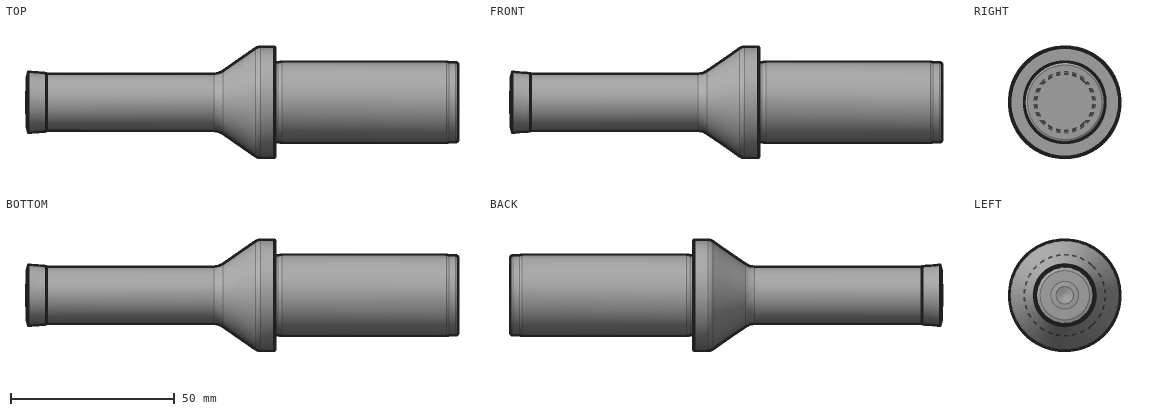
import cadquery as cq
import math

LENGTH = 132.0

HEAD_LENGTH = 6.1
HEAD_FRONT_RADIUS = 18.7 / 2
HEAD_BACK_RADIUS = 9.0
HEAD_EDGE_START = 0.5
HEAD_EDGE_END = 0.8
FACE_RADIUS = 8.8
FACE_BREAK_RADIUS = 7.5
FACE_BREAK_DEPTH = 0.2
BOSS_BASE_RADIUS = 4.2
BOSS_TIP_RADIUS = 2.6
BOSS_HEIGHT = 0.1
DIMPLE_DEPTH = 0.5

NECK_RADIUS = 17.5 / 2
NECK_CHAMFER = 0.3
FLANGE_RADIUS = 34.0 / 2
CONE_ANGLE = 34.8
CONE_END = 70.8
NECK_FILLET = 4.9
RIM_FILLET = 2.6
FLANGE_BACK = 76.2
FLANGE_CHAMFER = 0.4
SHANK_RADIUS = 25.0 / 2
RELIEF_RADIUS = 24.5 / 2
FRONT_RELIEF_LENGTH = 0.8
FRONT_TAPER_LENGTH = 1.2
REAR_RELIEF_LENGTH = 2.9
REAR_TAPER_LENGTH = 0.8
END_FILLET = 0.9

CONE_RISE = FLANGE_RADIUS - NECK_RADIUS
CONE_START = CONE_END - CONE_RISE / math.tan(math.radians(CONE_ANGLE))


def revolve_about_x(profile):
    """Turn a closed (x, radius) profile fully around the X axis."""
    return profile.revolve(360, (0, 0, 0), (1, 0, 0))


def make_head():
    """Back-tapered cutting head with a low centre boss and a conical dimple."""
    profile = (
        cq.Workplane("XY")
        .moveTo(DIMPLE_DEPTH, 0)
        .lineTo(0, BOSS_TIP_RADIUS)
        .lineTo(BOSS_HEIGHT, BOSS_BASE_RADIUS)
        .lineTo(FACE_BREAK_DEPTH, FACE_BREAK_RADIUS)
        .lineTo(HEAD_EDGE_START, FACE_RADIUS)
        .radiusArc((HEAD_EDGE_END, HEAD_FRONT_RADIUS), HEAD_FRONT_RADIUS - FACE_RADIUS)
        .lineTo(HEAD_LENGTH, HEAD_BACK_RADIUS)
        .lineTo(HEAD_LENGTH, 0)
        .close()
    )
    return revolve_about_x(profile)


def fillet_circle(body, x, radius, size):
    """Fillet the circular edge that lies in the plane at x with the given radius."""
    margin = 0.01
    reach = radius + margin
    low_corner = (x - margin, -reach, -reach)
    high_corner = (x + margin, reach, reach)
    edge = cq.selectors.BoxSelector(low_corner, high_corner, boundingbox=True)
    return body.edges(edge).fillet(size)


def make_holder():
    """Front shank, conical flange and relieved rear shank in one turned body."""
    relief_end = FLANGE_BACK + FRONT_RELIEF_LENGTH
    rear_relief = LENGTH - REAR_RELIEF_LENGTH
    profile = cq.Workplane("XY").polyline([
        (HEAD_LENGTH, 0),
        (HEAD_LENGTH, NECK_RADIUS - NECK_CHAMFER),
        (HEAD_LENGTH + NECK_CHAMFER, NECK_RADIUS),
        (CONE_START, NECK_RADIUS),
        (CONE_END, FLANGE_RADIUS),
        (FLANGE_BACK - FLANGE_CHAMFER, FLANGE_RADIUS),
        (FLANGE_BACK, FLANGE_RADIUS - FLANGE_CHAMFER),
        (FLANGE_BACK, RELIEF_RADIUS),
        (relief_end, RELIEF_RADIUS),
        (relief_end + FRONT_TAPER_LENGTH, SHANK_RADIUS),
        (rear_relief - REAR_TAPER_LENGTH, SHANK_RADIUS),
        (rear_relief, RELIEF_RADIUS),
        (LENGTH, RELIEF_RADIUS),
        (LENGTH, 0),
    ]).close()
    body = revolve_about_x(profile)
    body = fillet_circle(body, CONE_START, NECK_RADIUS, NECK_FILLET)
    body = fillet_circle(body, CONE_END, FLANGE_RADIUS, RIM_FILLET)
    return fillet_circle(body, LENGTH, RELIEF_RADIUS, END_FILLET)


head = make_head()
holder = make_holder()

result = cq.Compound.makeCompound([head.val(), holder.val()])